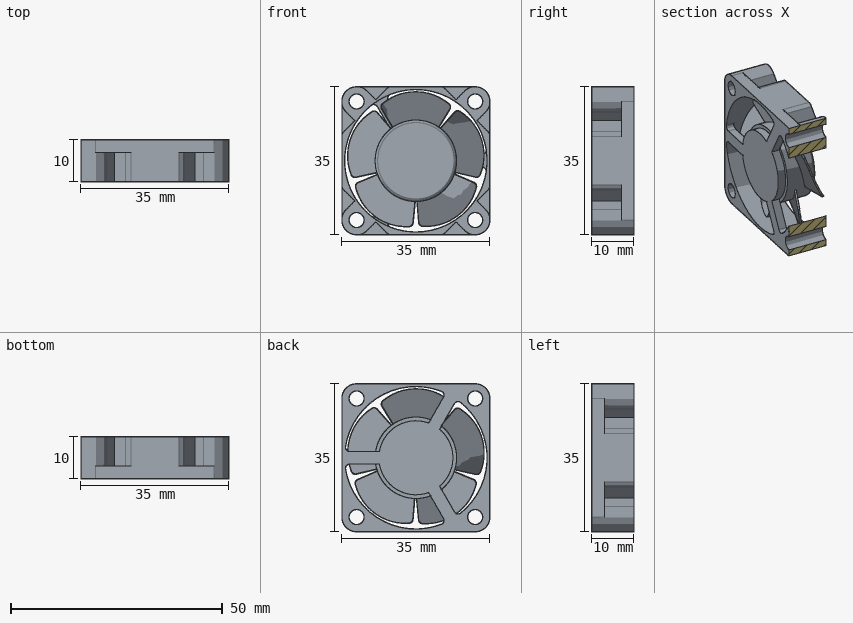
import cadquery as cq
import math

frame_size = 35.0
frame_depth = 10.0
flange_thickness = 3.0
corner_radius = 3.5
mount_hole_diameter = 3.5
bore_diameter = 33.6

notch_edge_offset = 6.4
notch_edge_radius = 1.75

hub_diameter = 19.25
hub_recess = 0.4
hub_edge_fillet = 0.6
base_diameter = 17.5
base_thickness = 2.0
strut_width = 3.0
strut_count = 3
strut_end_fillet = 1.0
strut_wall_overlap = 0.35

blade_count = 5
blade_thickness = 0.5
blade_lean_angle = 18.0
blade_root_radius = 8.75
blade_root_half_angle = 35.0
blade_corner_radius = 15.45
blade_lead_angle = 33.0
blade_trail_angle = 33.4
blade_tip_radius = 16.3
blade_corner_fillet = 1.0

guide_half_angle = 40.0
inner_guide_depths = (2.9, 4.02, 5.15)
outer_guide_radius = 16.8
outer_guide_depths = (-1.68, 4.27, 8.25)

half_size = frame_size / 2
post_center = half_size - corner_radius
bore_radius = bore_diameter / 2
base_front = frame_depth - base_thickness


def front_plane(depth=0.0):
    """Sketch plane at a depth behind the front face; local y is Z, extrude(-t) goes deeper."""
    return cq.Workplane("XZ", origin=(0, depth, 0))


def turned(solid, angle):
    """Turn a body about the fan axis."""
    return solid.rotate((0, 0, 0), (0, 1, 0), angle)


def polar(radius, angle):
    """Point at an angle measured clockwise from +Z."""
    a = math.radians(angle)
    return (radius * math.sin(a), radius * math.cos(a))


def turned_point(point, quarter_turns):
    """Point turned clockwise about the fan axis by quarter turns."""
    x, z = point
    for _ in range(quarter_turns):
        x, z = z, -x
    return (x, z)


def make_front_body():
    """Part of the frame in front of the flange: four round posts with a notch on each side."""
    tangent = corner_radius / math.sqrt(2)
    post_end = (post_center - tangent, post_center + tangent)
    post_outermost = (post_center + tangent, post_center + tangent)

    post_side_rise = corner_radius * math.sqrt(2)
    edge_sum = half_size + notch_edge_offset
    bottom_x = (edge_sum - post_side_rise) / 2
    bottom = (bottom_x, edge_sum - bottom_x)

    tangent_length = notch_edge_radius * math.tan(math.radians(45 / 2))
    diagonal_step = tangent_length / math.sqrt(2)
    round_inner = (notch_edge_offset + diagonal_step, half_size - diagonal_step)
    round_outer = (notch_edge_offset - tangent_length, half_size)

    def place(point, turn, mirrored=False):
        x, z = point
        return turned_point((-x if mirrored else x, z), turn)

    outline = front_plane().moveTo(*place(bottom, 0, mirrored=True))
    for turn in range(4):
        outline = (
            outline.lineTo(*place(round_inner, turn, mirrored=True))
            .radiusArc(place(round_outer, turn, mirrored=True), notch_edge_radius)
            .lineTo(*place(round_outer, turn))
            .radiusArc(place(round_inner, turn), notch_edge_radius)
            .lineTo(*place(bottom, turn))
            .lineTo(*place(post_end, turn))
            .threePointArc(place(post_outermost, turn), place(post_end[::-1], turn))
        )
        if turn < 3:
            outline = outline.lineTo(*place(bottom[::-1], turn))
    return outline.close().extrude(-(frame_depth - flange_thickness))


def make_frame():
    flange = (
        front_plane(frame_depth - flange_thickness)
        .rect(frame_size, frame_size)
        .extrude(-flange_thickness)
        .edges("|Y")
        .fillet(corner_radius)
    )
    bore = front_plane().circle(bore_radius).extrude(-frame_depth)
    holes = (
        front_plane()
        .rect(2 * post_center, 2 * post_center, forConstruction=True)
        .vertices()
        .circle(mount_hole_diameter / 2)
        .extrude(-frame_depth)
    )
    return make_front_body().union(flange).cut(bore).cut(holes)


def make_strut():
    """Strut along +X whose outer end flares into the bore wall with a fillet on each side."""
    half_width = strut_width / 2
    fillet_z = half_width + strut_end_fillet
    fillet_center_radius = bore_radius - strut_end_fillet
    fillet_x = math.sqrt(fillet_center_radius**2 - fillet_z**2)
    touch_scale = bore_radius / fillet_center_radius
    wall_x = fillet_x * touch_scale
    wall_z = fillet_z * touch_scale
    wall_end = bore_radius + strut_wall_overlap
    return (
        front_plane(base_front)
        .moveTo(0, -half_width)
        .lineTo(fillet_x, -half_width)
        .radiusArc((wall_x, -wall_z), strut_end_fillet)
        .lineTo(wall_end, -wall_z)
        .lineTo(wall_end, wall_z)
        .lineTo(wall_x, wall_z)
        .radiusArc((fillet_x, half_width), strut_end_fillet)
        .lineTo(0, half_width)
        .close()
        .extrude(-base_thickness)
    )


def make_hub():
    hub = front_plane(hub_recess).circle(hub_diameter / 2).extrude(-(base_front - hub_recess))
    hub = hub.faces("<Y").edges().fillet(hub_edge_fillet)
    base = front_plane(base_front).circle(base_diameter / 2).extrude(-base_thickness)
    return hub.union(base)


def guide_curve(radius, depths):
    """Curve round the axis whose depth is a parabola of the angle through three given depths."""
    front, middle, rear = depths
    slope = (rear - front) / 2
    bow = (front + rear) / 2 - middle
    steps = 4
    points = []
    for step in range(-steps, steps + 1):
        t = step / steps
        x, z = polar(radius, guide_half_angle * t)
        depth = middle + slope * t + bow * t**2
        points.append(cq.Vector(x, depth, z))
    return cq.Edge.makeSpline(points)


def make_blade():
    """Blade centred on +Z: a twisted skin, trimmed to the rounded blade outline and thickened."""
    surface = cq.Face.makeRuledSurface(
        guide_curve(blade_root_radius, inner_guide_depths),
        guide_curve(outer_guide_radius, outer_guide_depths),
    )
    outline = (
        front_plane()
        .moveTo(*polar(blade_root_radius, -blade_root_half_angle))
        .lineTo(*polar(blade_corner_radius, -blade_lead_angle))
        .threePointArc((0, blade_tip_radius), polar(blade_corner_radius, blade_trail_angle))
        .lineTo(*polar(blade_root_radius, blade_root_half_angle))
        .close()
        .extrude(-frame_depth)
    )
    outline = outline.edges("|Y").edges(">X or <X").fillet(blade_corner_fillet)
    front_skin = surface.intersect(outline.val()).Faces()[0]
    lean = math.radians(blade_lean_angle)
    shift = cq.Vector(-blade_thickness * math.sin(lean), blade_thickness * math.cos(lean), 0)
    return cq.Workplane(obj=cq.Solid.extrudeLinear(front_skin, shift))


result = make_frame().union(make_hub())
strut = make_strut()
for index in range(strut_count):
    result = result.union(turned(strut, index * 360 / strut_count))
blade = make_blade()
for index in range(blade_count):
    result = result.union(turned(blade, index * 360 / blade_count))